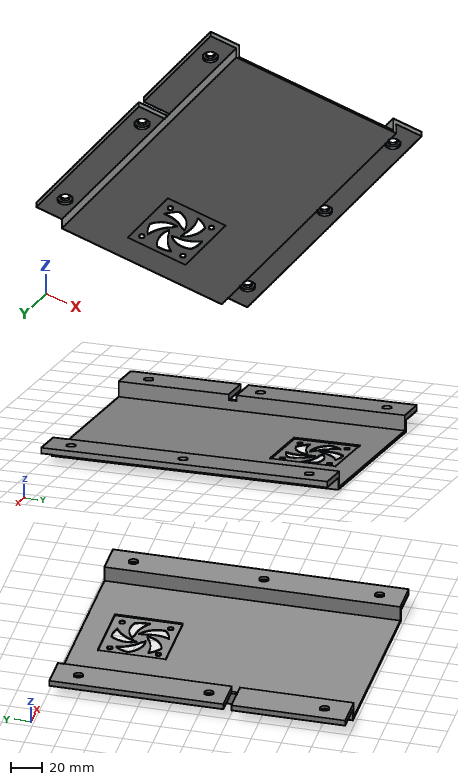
import cadquery as cq
import math

length = 196.0
width = 165.0
height = 12.0
flange_thickness = 4.0
flange_width = 22.3
wall_thickness = 2.4
floor_thickness = 1.5

half_width = width / 2
wall_inner_x = half_width - flange_width
wall_outer_x = wall_inner_x + wall_thickness
flange_bottom_z = height - flange_thickness

mount_hole_diameter = 6.0
counterbore_diameter = 10.0
counterbore_depth = 2.0
mount_hole_x = half_width - flange_width / 2
mount_hole_end_y = 81.5
mount_hole_middle_y = -4.9

notch_width = 5.3
notch_y = -20.0

fan_y = 58.8
recess_side = 45.0
recess_depth = 1.0
screw_spacing = 32.1
screw_diameter = 3.5
vent_hub_radius = 10.0 / 2
vent_middle_radius = 10.8
vent_outer_radius = 18.6
blade_count = 5
leading_edge_angles = (168, 127, 97)
trailing_edge_angles = (132, 88, 66)


def make_tray():
    right_half = [
        (wall_outer_x, 0),
        (wall_outer_x, flange_bottom_z),
        (half_width, flange_bottom_z),
        (half_width, height),
        (wall_inner_x, height),
        (wall_inner_x, floor_thickness),
    ]
    left_half = [(-x, z) for x, z in reversed(right_half)]
    section = cq.Workplane("XZ").polyline(right_half + left_half).close()
    return section.extrude(length / 2, both=True)


def make_mount_holes():
    hole_rows = (-mount_hole_end_y, mount_hole_middle_y, mount_hole_end_y)
    centers = [(x, y) for x in (-mount_hole_x, mount_hole_x) for y in hole_rows]
    flange_underside = cq.Workplane("XY", origin=(0, 0, flange_bottom_z)).pushPoints(centers)
    holes = flange_underside.circle(mount_hole_diameter / 2).extrude(flange_thickness)
    counterbores = flange_underside.circle(counterbore_diameter / 2).extrude(counterbore_depth)
    return holes.union(counterbores)


def make_notch():
    return (
        cq.Workplane("XY")
        .box(flange_width, notch_width, flange_thickness, centered=(False, True, False))
        .translate((-half_width, notch_y, flange_bottom_z))
    )


def polar_point(radius, angle):
    return (radius * math.cos(math.radians(angle)), radius * math.sin(math.radians(angle)))


def make_blade():
    radii = (vent_hub_radius, vent_middle_radius, vent_outer_radius)
    leading = [polar_point(r, a) for r, a in zip(radii, leading_edge_angles)]
    trailing = [polar_point(r, a) for r, a in zip(radii, trailing_edge_angles)]
    rim_angle = (leading_edge_angles[-1] + trailing_edge_angles[-1]) / 2
    hub_angle = (leading_edge_angles[0] + trailing_edge_angles[0]) / 2
    return (
        cq.Workplane("XY")
        .moveTo(*leading[0])
        .threePointArc(leading[1], leading[2])
        .threePointArc(polar_point(vent_outer_radius, rim_angle), trailing[2])
        .threePointArc(trailing[1], trailing[0])
        .threePointArc(polar_point(vent_hub_radius, hub_angle), leading[0])
        .close()
        .extrude(floor_thickness)
    )


def make_fan_cutout():
    cutout = (
        cq.Workplane("XY", origin=(0, 0, floor_thickness - recess_depth))
        .rect(recess_side, recess_side)
        .extrude(recess_depth)
    )
    screws = (
        cq.Workplane("XY")
        .rect(screw_spacing, screw_spacing, forConstruction=True)
        .vertices()
        .circle(screw_diameter / 2)
        .extrude(floor_thickness)
    )
    cutout = cutout.union(screws)
    blade = make_blade()
    for index in range(blade_count):
        cutout = cutout.union(blade.rotate((0, 0, 0), (0, 0, 1), index * 360 / blade_count))
    return cutout.translate((0, fan_y, 0))


result = make_tray().cut(make_mount_holes()).cut(make_notch()).cut(make_fan_cutout())